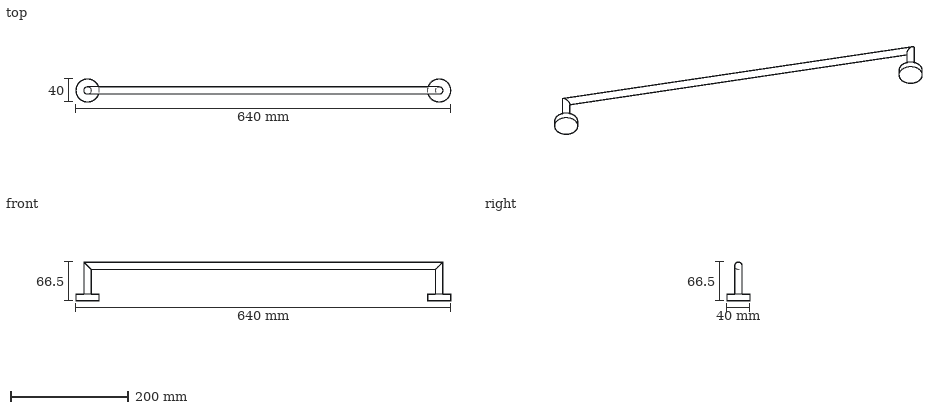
import cadquery as cq

overall_length = 640.0
overall_height = 66.5
flange_diameter = 40.0
flange_thickness = 11.5
tube_diameter = 13.0

tube_radius = tube_diameter / 2
post_x = (overall_length - flange_diameter) / 2
outer_x = post_x + tube_radius
inner_x = post_x - tube_radius
rail_z = overall_height - tube_radius
rail_bottom_z = rail_z - tube_radius


def make_flange(side):
    """Round wall flange under one post; side is -1 or +1 along X."""
    return (
        cq.Workplane("XY")
        .center(side * post_x, 0)
        .circle(flange_diameter / 2)
        .extrude(flange_thickness)
    )


def make_post(side):
    """Round post standing on its flange, with a 45 degree mitre at the top."""
    post = (
        cq.Workplane("XY", origin=(side * post_x, 0, flange_thickness))
        .circle(tube_radius)
        .extrude(overall_height - flange_thickness)
    )
    mitre_envelope = (
        cq.Workplane("XZ")
        .moveTo(side * outer_x, flange_thickness)
        .lineTo(side * outer_x, overall_height)
        .lineTo(side * inner_x, rail_bottom_z)
        .lineTo(side * inner_x, flange_thickness)
        .close()
        .extrude(tube_radius, both=True)
    )
    return post.intersect(mitre_envelope).solids()


def make_rail():
    """Round rail mitred at both ends to meet the posts."""
    rail = (
        cq.Workplane("YZ", origin=(-outer_x, 0, rail_z))
        .circle(tube_radius)
        .extrude(2 * outer_x)
    )
    mitre_envelope = (
        cq.Workplane("XZ")
        .moveTo(-outer_x, overall_height)
        .lineTo(outer_x, overall_height)
        .lineTo(inner_x, rail_bottom_z)
        .lineTo(-inner_x, rail_bottom_z)
        .close()
        .extrude(tube_radius, both=True)
    )
    return rail.intersect(mitre_envelope).solids()


bodies = [make_rail().val()]
for end_side in (-1, 1):
    bodies.append(make_flange(end_side).val())
    bodies.append(make_post(end_side).val())

result = cq.Compound.makeCompound(bodies)